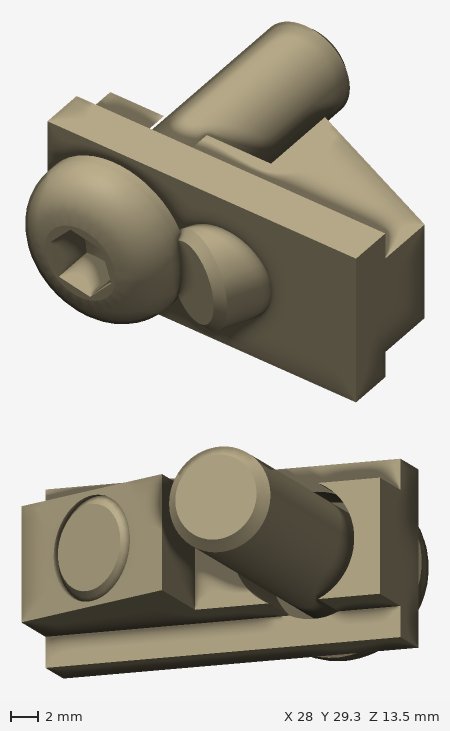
import cadquery as cq
import math


plate_length = 28.0
plate_height = 13.5
plate_thickness = 3.7
block_height = 8.8
low_block_depth = 7.95
step_x = 14.6
slope_angle = 24.4
peak_depth = 14.77
low_edge_depth = peak_depth - (plate_length - step_x) * math.tan(math.radians(slope_angle))
bolt_hole_diameter = 9.6

bolt_x = 6.83
shank_diameter = 8.0
overall_length = 29.3
head_diameter = 13.4
head_gap = 1.05
head_rim = 0.82
head_height = 4.3
dome_radius = head_height - head_rim
bolt_chamfer = 0.8
hex_across_flats = 5.0
hex_corner_diameter = hex_across_flats / math.cos(math.radians(30))
hex_turn = -12.0
socket_depth = 3.52
socket_cone_angle = 118.0

set_screw_x = 15.97
set_screw_diameter = 8.0
set_screw_front = 2.7
set_screw_back = 13.15
set_screw_chamfer = 0.73


def angled_cylinder(start, end):
    """Set screw cylinder along its axis, with distances measured from the front face."""
    angle = math.radians(slope_angle)
    direction = cq.Vector(math.sin(angle), math.cos(angle), 0)
    base = cq.Vector(set_screw_x, 0, 0) + direction * start
    return cq.Workplane(cq.Solid.makeCylinder(set_screw_diameter / 2, end - start, base, direction))


def make_clamp():
    plate = cq.Workplane("XY").box(
        plate_length, plate_thickness, plate_height, centered=(False, False, True)
    )
    block = (
        cq.Workplane("XY")
        .polyline([
            (0, 0),
            (plate_length, 0),
            (plate_length, low_edge_depth),
            (step_x, peak_depth),
            (step_x, low_block_depth),
            (0, low_block_depth),
        ])
        .close()
        .extrude(block_height / 2, both=True)
    )
    bolt_hole = (
        cq.Workplane("XZ")
        .center(bolt_x, 0)
        .circle(bolt_hole_diameter / 2)
        .extrude(-low_block_depth)
    )
    set_screw_hole = angled_cylinder(
        -2 * set_screw_front, set_screw_back + set_screw_front
    )
    return plate.union(block).cut(bolt_hole).cut(set_screw_hole)


def make_socket(head_front):
    """Hexagonal socket with a conical floor."""
    corner_radius = hex_corner_diameter / 2
    cone_depth = corner_radius / math.tan(math.radians(socket_cone_angle / 2))
    hexagon = (
        cq.Workplane("XZ", origin=(bolt_x, head_front, 0))
        .transformed(rotate=(0, 0, hex_turn))
        .polygon(6, hex_corner_diameter)
        .extrude(-socket_depth - cone_depth)
    )
    pointed_bore = (
        cq.Workplane("XY", origin=(bolt_x, head_front, 0))
        .polyline([
            (0, 0),
            (corner_radius, 0),
            (corner_radius, socket_depth),
            (0, socket_depth + cone_depth),
        ])
        .close()
        .revolve(360, (0, 0), (0, 1))
    )
    return hexagon.intersect(pointed_bore)


def make_bolt():
    head_front = -head_gap - head_height
    tip = head_front + overall_length
    rim_front = -head_gap - head_rim
    head_radius = head_diameter / 2
    shank_radius = shank_diameter / 2
    flat_radius = head_radius - dome_radius
    dome_reach = dome_radius * math.sin(math.radians(45))
    dome_middle = (flat_radius + dome_reach, rim_front - dome_reach)
    body = (
        cq.Workplane("XY", origin=(bolt_x, 0, 0))
        .moveTo(0, head_front)
        .lineTo(flat_radius, head_front)
        .threePointArc(dome_middle, (head_radius, rim_front))
        .lineTo(head_radius, -head_gap)
        .lineTo(shank_radius, -head_gap)
        .lineTo(shank_radius, tip - bolt_chamfer)
        .lineTo(shank_radius - bolt_chamfer, tip)
        .lineTo(0, tip)
        .close()
        .revolve(360, (0, 0), (0, 1))
    )
    return body.cut(make_socket(head_front))


def make_set_screw(bolt):
    body = angled_cylinder(-set_screw_front, set_screw_back)
    return body.edges("%CIRCLE").chamfer(set_screw_chamfer).cut(bolt)


clamp = make_clamp()
bolt = make_bolt()
set_screw = make_set_screw(bolt)

result = cq.Compound.makeCompound([*clamp.solids().vals(), *bolt.solids().vals(), *set_screw.solids().vals()])